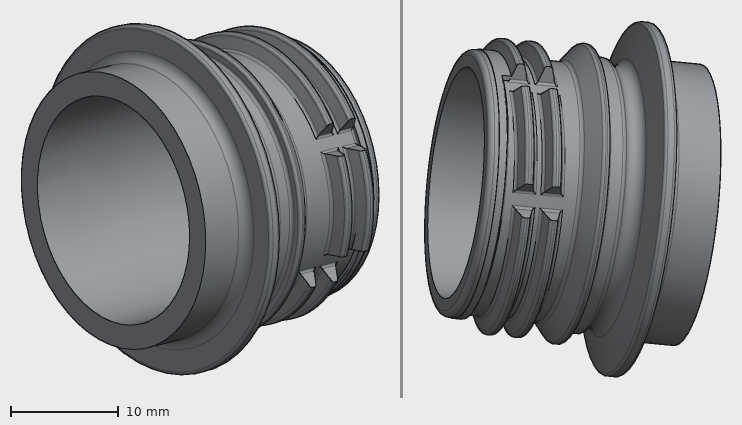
import cadquery as cq
import math

length = 22.0

bore_radius_plain_end = 10.8
bore_radius_thread_end = 10.77

spigot_radius = 26.19 / 2
flange_radius = 33.0 / 2
flange_bottom = 5.0
flange_fillet = 1.0
flange_rim_round = 0.3
flange_rim_height = 0.92
flange_cone_angle = math.radians(15)

land_radius = 25.71 / 2
land_round = 0.5
groove_floor_radius = 12.2
groove_round = 1.0

rib_radius = 28.0 / 2
rib_bottom = 10.75
rib_fillet = 0.3
rib_rim_round = 0.3
rib_shoulder_round = 0.4
rib_shoulder_start = 11.2
rib_cone_angle = math.radians(50)
rib_foot_fillet = 0.5

barrel_radius = 24.2 / 2
collar_radius = 25.07 / 2
collar_bottom = 20.25
collar_fillet = 0.2
collar_top = 21.0
mouth_radius = 24.94 / 2
mouth_round = 0.57

pitch = 2.64
turns = 2
ridges_per_turn = 4
thread_start = 19.7
crest_radius = 13.72
crest_half_width = 0.42
crest_round = 0.3
upper_foot = 0.9
lower_foot = 0.85
root_fillet = 0.3
root_depth = 0.5
short_half_length = 4.9
long_half_length = 10.3
long_end_setback = 6.3
long_end_slope = 1.3
mask_reach = 16.0
short_sweep = 70.0
long_sweep = 150.0
sleeve_half_height = 2.1
surface_tolerance = 0.02
bridge_bottom = 19.1


def polar(center, radius, angle):
    return (center[0] + radius * math.cos(angle), center[1] + radius * math.sin(angle))


def neck():
    """Revolve the wall section, given as (radius, height) points."""
    rim_center = (flange_radius - flange_rim_round, flange_bottom + flange_rim_height)
    cone_normal = math.pi / 2 - flange_cone_angle
    cone_start = polar(rim_center, flange_rim_round, cone_normal)
    groove_center_radius = groove_floor_radius + groove_round
    cone_end_radius = groove_center_radius - groove_round * math.sin(flange_cone_angle)
    cone_rise = (cone_start[0] - cone_end_radius) * math.tan(flange_cone_angle)
    cone_end = (cone_end_radius, cone_start[1] + cone_rise)
    groove_center = polar(cone_end, groove_round, cone_normal)

    round_offset = groove_center_radius - (land_radius - land_round)
    swing = math.acos(round_offset / (groove_round + land_round))
    groove_end = polar(groove_center, groove_round, math.pi - swing)
    land_start = groove_center[1] + (groove_round + land_round) * math.sin(swing)

    shoulder_center = (rib_radius - rib_shoulder_round, rib_shoulder_start)
    shoulder_end = polar(shoulder_center, rib_shoulder_round, rib_cone_angle)
    foot_radius = barrel_radius + rib_foot_fillet * (1 - math.cos(rib_cone_angle))
    foot_rise = (shoulder_end[0] - foot_radius) / math.tan(rib_cone_angle)
    foot_start = (foot_radius, shoulder_end[1] + foot_rise)
    foot_end = (barrel_radius, foot_start[1] + rib_foot_fillet * math.sin(rib_cone_angle))

    section = (
        cq.Workplane("XZ")
        .moveTo(bore_radius_plain_end, 0)
        .lineTo(spigot_radius, 0)
        .lineTo(spigot_radius, flange_bottom - flange_fillet)
        .radiusArc((spigot_radius + flange_fillet, flange_bottom), flange_fillet)
        .lineTo(flange_radius - flange_rim_round, flange_bottom)
        .radiusArc((flange_radius, flange_bottom + flange_rim_round), -flange_rim_round)
        .lineTo(flange_radius, rim_center[1])
        .radiusArc(cone_start, -flange_rim_round)
        .lineTo(*cone_end)
        .threePointArc((groove_floor_radius, groove_center[1]), groove_end)
        .radiusArc((land_radius, land_start), -land_round)
        .lineTo(land_radius, rib_bottom - rib_fillet)
        .radiusArc((land_radius + rib_fillet, rib_bottom), rib_fillet)
        .lineTo(rib_radius - rib_rim_round, rib_bottom)
        .radiusArc((rib_radius, rib_bottom + rib_rim_round), -rib_rim_round)
        .lineTo(rib_radius, rib_shoulder_start)
        .radiusArc(shoulder_end, -rib_shoulder_round)
        .lineTo(*foot_start)
        .radiusArc(foot_end, rib_foot_fillet)
        .lineTo(barrel_radius, collar_bottom - collar_fillet)
        .radiusArc((barrel_radius + collar_fillet, collar_bottom), collar_fillet)
        .lineTo(collar_radius, collar_bottom)
        .lineTo(collar_radius, collar_top)
        .lineTo(mouth_radius, collar_top)
        .lineTo(mouth_radius, length - mouth_round)
        .radiusArc((mouth_radius - mouth_round, length), -mouth_round)
        .lineTo(bore_radius_thread_end, length)
        .close()
    )
    return section.revolve(360, (0, 0, 0), (0, 1, 0))


def screw(shape, angle, height=0):
    """Move a shape along the thread helix by an angle in degrees, then up by a height."""
    return shape.rotate((0, 0, 0), (0, 0, 1), angle).translate((0, 0, height + pitch * angle / 360))


def short_mask():
    """Block around +X with ends parallel to X, for the ridges at the sides."""
    width = 2 * short_half_length
    return cq.Workplane("XY").rect(mask_reach, width).extrude(2 * length, both=True).translate(
        (mask_reach / 2, 0, 0)
    )


def long_mask():
    """Block around +X that widens outwards, for the ridges at top and bottom."""
    widening = (mask_reach - long_end_setback) / long_end_slope
    outer = long_half_length + widening
    outline = [
        (long_end_setback, -long_half_length),
        (mask_reach, -outer),
        (mask_reach, outer),
        (long_end_setback, long_half_length),
    ]
    return cq.Workplane("XY").polyline(outline).close().extrude(2 * length, both=True)


def ridge(mask, span):
    """Ridge on a sleeve of the barrel wall, crest at z = 0 on +X, filleted all round its root."""
    root_radius = barrel_radius - root_depth
    helix = cq.Wire.makeHelix(pitch, pitch * span / 360, barrel_radius)
    bar = (
        cq.Workplane("XZ")
        .moveTo(root_radius, -lower_foot)
        .lineTo(barrel_radius, -lower_foot)
        .lineTo(crest_radius - crest_round, -crest_half_width)
        .radiusArc((crest_radius, crest_round - crest_half_width), -crest_round)
        .lineTo(crest_radius, crest_half_width - crest_round)
        .radiusArc((crest_radius - crest_round, crest_half_width), -crest_round)
        .lineTo(barrel_radius, upper_foot)
        .lineTo(root_radius, upper_foot)
        .close()
        .sweep(cq.Workplane(helix), isFrenet=True)
    )
    bar = screw(bar, -span / 2).intersect(mask)
    sleeve = (
        cq.Workplane("XY")
        .circle(barrel_radius)
        .circle(root_radius)
        .extrude(sleeve_half_height, both=True)
        .rotate((0, 0, 0), (0, 0, 1), 180)
    )
    joined = sleeve.union(bar)
    root_edges = [edge for edge in joined.edges().vals() if is_root_edge(edge)]
    return joined.newObject(root_edges).fillet(root_fillet)


def is_root_edge(edge):
    """True for an edge that lies on the barrel surface, away from the ends of the sleeve."""
    samples = [edge.positionAt(position) for position in (0, 0.3, 0.7, 1)]
    return all(
        abs(math.hypot(point.x, point.y) - barrel_radius) < surface_tolerance
        and abs(point.z) < sleeve_half_height - surface_tolerance
        for point in samples
    )


def collar_bridge(mask, angle):
    """Collar wall carried down to a ridge that lies too close to it for a gap."""
    ring = (
        cq.Workplane("XY", origin=(0, 0, bridge_bottom))
        .circle(collar_radius)
        .circle(barrel_radius - root_depth)
        .extrude(collar_top - bridge_bottom)
    )
    return ring.intersect(mask.rotate((0, 0, 0), (0, 0, 1), angle))


masks = [short_mask(), long_mask()]
ridges = [ridge(mask, span) for mask, span in zip(masks, (short_sweep, long_sweep))]

neck_body = neck()
for index in range(turns * ridges_per_turn):
    turn_angle = -index * 360 / ridges_per_turn
    neck_body = neck_body.union(screw(ridges[index % 2], turn_angle, thread_start))
for index, mask in enumerate(masks):
    neck_body = neck_body.union(collar_bridge(mask, -index * 360 / ridges_per_turn))

result = neck_body.rotate((0, 0, 0), (1, 0, 0), -90)